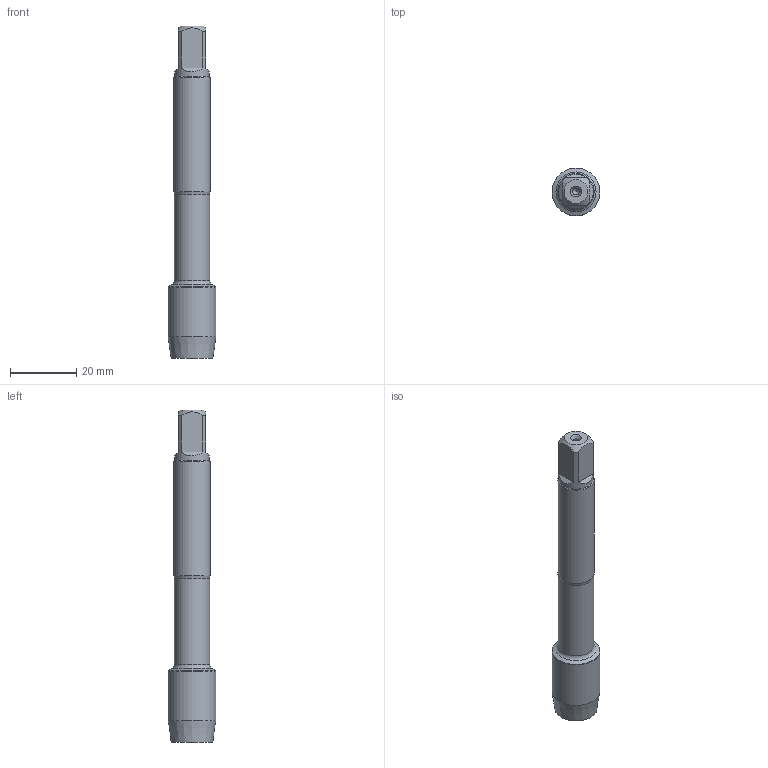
import cadquery as cq
import math

total_length = 100.0
head_length = 21.3
lead_length = 6.4

head_diameter = 14.41
tip_diameter = 12.6

neck_diameter = 10.6
shank_diameter = 10.9
drive_diameter = 10.46

rim_height = 0.2
head_cone_angle = 27.0
neck_fillet_radius = 1.35

shank_bottom = 50.1
shank_fillet_radius = 2.6
shank_top = 84.8
shank_chamfer = (shank_diameter - drive_diameter) / 2

square_sides = 4
square_width = 8.2
square_length = 12.7
square_runout = (drive_diameter - square_width) / 2
drive_end_diameter = 7.1
drive_end_chamfer = (drive_diameter - drive_end_diameter) / 2

centre_hole_diameter = 2.0
centre_mouth_diameter = 3.3
centre_mouth_depth = 1.1
centre_hole_depth = 3.0
centre_point_depth = centre_hole_diameter / 2


def make_cutting_head():
    """Cylinder with a tapered lead at its tip."""
    return (
        cq.Workplane("XZ")
        .lineTo(tip_diameter / 2, 0)
        .lineTo(head_diameter / 2, lead_length)
        .lineTo(head_diameter / 2, head_length)
        .lineTo(0, head_length)
        .close()
        .revolve(360, (0, 0), (0, 1))
    )


def fillet_rise(radius, turn):
    """Radial growth of a fillet that leaves the neck along its axis and turns outward."""
    return radius * (1 - math.cos(turn))


def fillet_run(radius, turn):
    """Axial length of the same fillet."""
    return radius * math.sin(turn)


def make_shank_blank():
    """Round shank from the head's top face to the drive end."""
    neck_radius = neck_diameter / 2

    lower_turn = math.radians(90 - head_cone_angle)
    cone_top_radius = neck_radius + fillet_rise(neck_fillet_radius, lower_turn)
    cone_bottom = head_length + rim_height
    cone_top = cone_bottom + (head_diameter / 2 - cone_top_radius) / math.tan(lower_turn)
    neck_bottom = cone_top + fillet_run(neck_fillet_radius, lower_turn)
    lower_fillet_middle = (
        neck_radius + fillet_rise(neck_fillet_radius, lower_turn / 2),
        neck_bottom - fillet_run(neck_fillet_radius, lower_turn / 2),
    )

    upper_turn = math.acos(1 - (shank_diameter / 2 - neck_radius) / shank_fillet_radius)
    neck_top = shank_bottom - fillet_run(shank_fillet_radius, upper_turn)
    upper_fillet_middle = (
        neck_radius + fillet_rise(shank_fillet_radius, upper_turn / 2),
        neck_top + fillet_run(shank_fillet_radius, upper_turn / 2),
    )

    return (
        cq.Workplane("XZ")
        .moveTo(0, head_length)
        .lineTo(head_diameter / 2, head_length)
        .lineTo(head_diameter / 2, cone_bottom)
        .lineTo(cone_top_radius, cone_top)
        .threePointArc(lower_fillet_middle, (neck_radius, neck_bottom))
        .lineTo(neck_radius, neck_top)
        .threePointArc(upper_fillet_middle, (shank_diameter / 2, shank_bottom))
        .lineTo(shank_diameter / 2, shank_top - shank_chamfer)
        .lineTo(drive_diameter / 2, shank_top)
        .lineTo(drive_diameter / 2, total_length - drive_end_chamfer)
        .lineTo(drive_end_diameter / 2, total_length)
        .lineTo(0, total_length)
        .close()
        .revolve(360, (0, 0), (0, 1))
    )


def make_flat_cutter():
    """Waste on the +X side of the square, with a 45 degree runout at its lower end."""
    flat_bottom = total_length - square_length
    inner = square_width / 2
    outer = inner + square_runout
    return (
        cq.Workplane("XZ")
        .moveTo(inner, total_length)
        .lineTo(inner, flat_bottom)
        .lineTo(outer, flat_bottom - square_runout)
        .lineTo(outer, total_length)
        .close()
        .extrude(drive_diameter / 2, both=True)
    )


def make_centre_hole():
    """Countersunk centre hole with a conical drill point."""
    return (
        cq.Workplane("XZ")
        .moveTo(0, total_length)
        .lineTo(centre_mouth_diameter / 2, total_length)
        .lineTo(centre_hole_diameter / 2, total_length - centre_mouth_depth)
        .lineTo(centre_hole_diameter / 2, total_length - centre_hole_depth)
        .lineTo(0, total_length - centre_hole_depth - centre_point_depth)
        .close()
        .revolve(360, (0, 0), (0, 1))
    )


def make_shank():
    """Shank blank with the four flats of the square and the centre hole cut into it."""
    shank = make_shank_blank()
    flat_cutter = make_flat_cutter()
    for side in range(square_sides):
        angle = side * 360 / square_sides
        shank = shank.cut(flat_cutter.rotate((0, 0, 0), (0, 0, 1), angle))
    return shank.cut(make_centre_hole())


cutting_head = make_cutting_head()
shank = make_shank()
result = cq.Compound.makeCompound([cutting_head.val(), shank.val()])